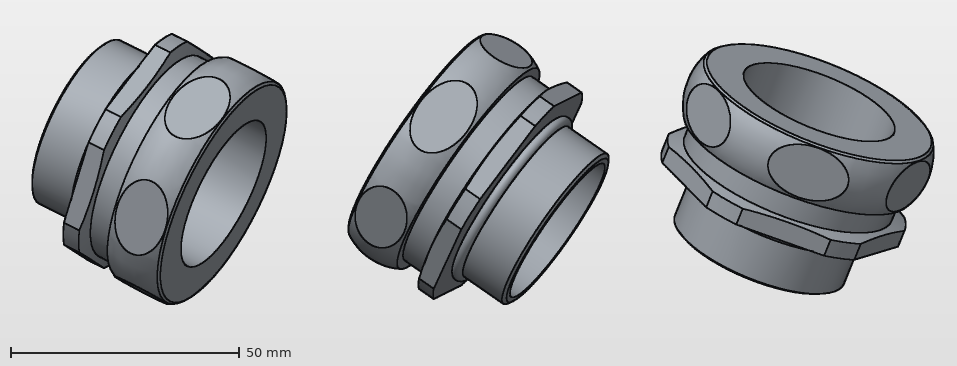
import cadquery as cq
import math

total_length = 37.5
x_front = -total_length / 2
x_rear = total_length / 2
seal_width = 2.4
x_flange = x_front + 13.45
x_seal = x_flange - seal_width / 2
x_flange_rim = x_flange + 4.0
x_neck = x_flange_rim + 0.9
nut_length = 13.45
x_nut = x_rear - nut_length
x_nut_middle = (x_nut + x_rear) / 2

bore_diameter = 35.5
spigot_diameter = 40.0
spigot_tip_diameter = 38.15
spigot_chamfer_length = 0.55
seal_diameter = 43.3
neck_diameter = 49.0
flange_diameter = 55.85
flange_across_flats = 51.9
nut_diameter = 57.0
nut_across_flats = 54.0
nut_end_diameter = 53.35
nut_rear_diameter = 52.65
nut_chamfer_length = 0.45

hexagon_sides = 6


def revolve_about_x(profile):
    return profile.close().revolve(360, (0, 0, 0), (1, 0, 0))


def hexagon_bar(across_flats, x_start, length):
    """Hexagonal bar along X with flats facing +Z and -Z."""
    across_corners = across_flats / math.cos(math.pi / hexagon_sides)
    outline = cq.Workplane("YZ", origin=(x_start, 0, 0)).polygon(hexagon_sides, across_corners)
    return outline.extrude(length)


def spigot_and_neck():
    """Cylindrical core: chamfered spigot in front, wider neck behind the flange."""
    return revolve_about_x(
        cq.Workplane("XY")
        .moveTo(x_front, 0)
        .lineTo(x_front, spigot_tip_diameter / 2)
        .lineTo(x_front + spigot_chamfer_length, spigot_diameter / 2)
        .lineTo(x_flange, spigot_diameter / 2)
        .lineTo(x_flange, neck_diameter / 2)
        .lineTo(x_nut, neck_diameter / 2)
        .lineTo(x_nut, 0)
    )


def seal_ring():
    """Round-section sealing ring lying against the flange."""
    section_radius = seal_width / 2
    center_radius = seal_diameter / 2 - section_radius
    section = cq.Workplane("XY").center(x_seal, center_radius).circle(section_radius)
    return section.revolve(360, (0, -center_radius, 0), (1, -center_radius, 0))


def flange():
    """Hexagon with round corners and a conical rear side."""
    blank = revolve_about_x(
        cq.Workplane("XY")
        .moveTo(x_flange, 0)
        .lineTo(x_flange, flange_diameter / 2)
        .lineTo(x_flange_rim, flange_diameter / 2)
        .lineTo(x_neck, neck_diameter / 2)
        .lineTo(x_neck, 0)
    )
    return blank.intersect(hexagon_bar(flange_across_flats, x_flange, x_neck - x_flange))


def nut():
    """Barrel-shaped nut whose six flats cut the crown in ovals."""
    x_chamfer = x_rear - nut_chamfer_length
    half_length = nut_length / 2
    crown_height = (nut_diameter - nut_end_diameter) / 2
    crown_radius = (half_length**2 + crown_height**2) / (2 * crown_height)
    chamfer_offset = x_chamfer - x_nut_middle
    crown_drop = crown_radius - math.sqrt(crown_radius**2 - chamfer_offset**2)
    barrel = revolve_about_x(
        cq.Workplane("XY")
        .moveTo(x_nut, 0)
        .lineTo(x_nut, nut_end_diameter / 2)
        .threePointArc(
            (x_nut_middle, nut_diameter / 2),
            (x_chamfer, nut_diameter / 2 - crown_drop),
        )
        .lineTo(x_rear, nut_rear_diameter / 2)
        .lineTo(x_rear, 0)
    )
    return barrel.intersect(hexagon_bar(nut_across_flats, x_nut, nut_length))


bore = (
    cq.Workplane("YZ", origin=(x_front, 0, 0)).circle(bore_diameter / 2).extrude(total_length)
)

result = spigot_and_neck().union(seal_ring()).union(flange()).union(nut()).cut(bore)